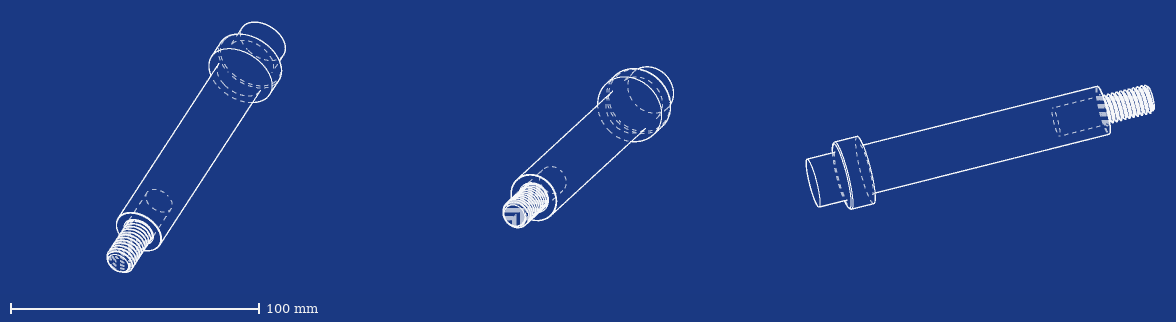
import cadquery as cq
import math

rod_radius = 10.0
rod_length = 100.0
rod_end_bevel = 0.25
collar_radius = 14.0
collar_width = 10.0
collar_bevel = 0.6
collar_fillet = 1.0
head_radius = rod_radius
head_length = 12.0
head_fillet = 0.4

thread_radius = 5.85
thread_pitch = 1.75
stud_reach = 20.0
stud_engagement = 20.0
tip_bevel = 1.3
thread_start_angle = 120.0

countersink_radius = 6.5
countersink_depth = countersink_radius - thread_radius

flank_angle = math.radians(30)
groove_depth = 5 / 8 * thread_pitch * math.sqrt(3) / 2
groove_root_width = thread_pitch / 4
groove_overcut = 0.05

collar_front = rod_length
collar_back = collar_front + collar_width
head_end = collar_back + head_length


def make_post():
    outline = (
        cq.Workplane("XY")
        .lineTo(rod_radius - rod_end_bevel, 0)
        .lineTo(rod_radius, rod_end_bevel)
        .lineTo(rod_radius, collar_front - collar_fillet)
        .radiusArc((rod_radius + collar_fillet, collar_front), collar_fillet)
        .lineTo(collar_radius, collar_front)
        .lineTo(collar_radius, collar_back - collar_bevel)
        .lineTo(collar_radius - collar_bevel, collar_back)
        .lineTo(head_radius + head_fillet, collar_back)
        .radiusArc((head_radius, collar_back + head_fillet), head_fillet)
        .lineTo(head_radius, head_end)
        .lineTo(0, head_end)
        .close()
    )
    post = outline.revolve(360, (0, 0, 0), (0, 1, 0))
    return post.cut(make_stud_hole())


def make_stud_hole():
    """Blind hole for the stud, countersunk at the rod's shoulder."""
    outline = (
        cq.Workplane("XY")
        .lineTo(countersink_radius, 0)
        .lineTo(thread_radius, countersink_depth)
        .lineTo(thread_radius, stud_engagement)
        .lineTo(0, stud_engagement)
        .close()
    )
    return outline.revolve(360, (0, 0, 0), (0, 1, 0))


def make_thread_groove(length):
    """Right-handed groove wound about +Z, overrunning both ends of the given length."""
    root_radius = thread_radius - groove_depth
    mouth_radius = thread_radius + groove_overcut
    half_root = groove_root_width / 2
    half_mouth = half_root + (mouth_radius - root_radius) * math.tan(flank_angle)
    path = cq.Wire.makeHelix(thread_pitch, length + 2 * thread_pitch, root_radius)
    groove = (
        cq.Workplane("XZ")
        .moveTo(root_radius, -half_root)
        .lineTo(mouth_radius, -half_mouth)
        .lineTo(mouth_radius, half_mouth)
        .lineTo(root_radius, half_root)
        .close()
        .sweep(cq.Workplane(path), isFrenet=True)
    )
    return groove.translate((0, 0, -thread_pitch)).rotate((0, 0, 0), (0, 0, 1), thread_start_angle)


def make_stud():
    """Stud threaded from its tip down to the foot of the countersink, plain inside the hole."""
    threaded_length = stud_reach + countersink_depth
    shank_length = stud_engagement - countersink_depth
    bar_overrun = 2 * thread_pitch
    bar = cq.Workplane("XY", origin=(0, 0, -bar_overrun))
    bar = bar.circle(thread_radius).extrude(threaded_length + 2 * bar_overrun)
    bar = bar.cut(make_thread_groove(threaded_length))
    envelope = cq.Workplane("XY").circle(thread_radius + groove_overcut).extrude(threaded_length)
    envelope = envelope.faces(">Z").chamfer(tip_bevel + groove_overcut)
    shank = cq.Workplane("XY").circle(thread_radius).extrude(-shank_length)
    stud = bar.intersect(envelope).union(shank)
    return stud.rotate((0, 0, 0), (1, 0, 0), 90).translate((0, countersink_depth, 0))


post = make_post()
stud = make_stud()
result = cq.Compound.makeCompound([post.val(), stud.val()])